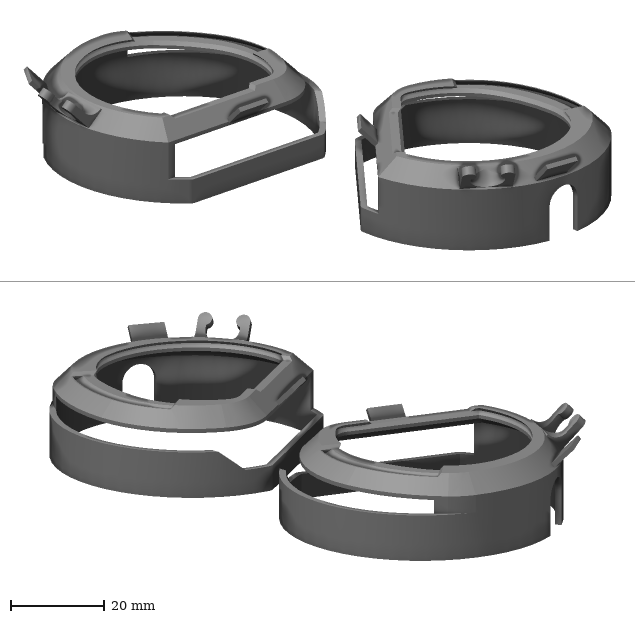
import cadquery as cq
import math

FRAME_OFFSET = 33.3

SKIRT_RADIUS = 30.6
WALL = 1.4
FLAT_ANGLE = -25.0
FLAT_DISTANCE = 24.0
CORNER_RADIUS = 2.0
FLAT_BAND_TOP = 5.6
BACK_BAND_TOP = 10.2
RAMP_START_Y = 13.2
RAMP_END_Y = 18.4

RIM_TOP = 18.1
LIP_TOP = 14.1
LIP_BOTTOM = 13.2
RIM_BOTTOM = 15.8
SLOPE_RUN = RIM_TOP - LIP_TOP
ROOF_FLAT_DISTANCE = 20.3
ROOF_FLAT_END = 11.1
ROOF_BACK_ARCS = [(12.7, 57.0), (27.2, 61.5), (37.6, 36.0)]

OPENING_FLAT_DISTANCE = 14.4
OPENING_FLAT_END = 11.1
OPENING_ARCS = [(4.0, 58.3), (20.1, 60.5), (38.2, 19.2), (16.0, 58.5)]
OPENING_LAST_RADIUS = 22.7

RECESS_FLOOR = 17.4
BACK_RECESS_APEX = (-2.7, -5.8)
BACK_RECESS_START = 60.6
BACK_RECESS_END = 127.3
FLAT_RECESS_START = -17.9
FLAT_RECESS_END = 5.2
GROOVE_DEPTH = 1.5
GROOVE_WIDTH = 2.9
GROOVE_SKIN = 0.4
RECESS_REACH = 51.8

GATE_ANGLE = 205.0
GATE_WIDTH = 8.0
GATE_TOP = 11.9

TAB_WIDTH = 8.0
TAB_THICKNESS = 1.0
SIDE_TAB_ANGLE = 211.0
SIDE_TAB_RISE = 0.6
SIDE_TAB_LENGTH = 5.8
FLAT_TAB_SHIFT = -1.3
FLAT_TAB_RISE = -0.3
FLAT_TAB_LENGTH = 5.0

CLIP_ANGLE = 240.0
CLIP_WIDTH = 11.5
CLIP_RISE = 0.5
CLIP_THICKNESS = 2.0
CLIP_BORE_RADIUS = 3.8
CLIP_BORE_HEIGHT = 3.9
CLIP_TIP_RADIUS = 1.5
CLIP_TIP_HEIGHT = 6.1
CLIP_MOUTH = 5.2
CLIP_FILLET = 3.0
ROOT_DEPTH = 0.8


def polar(radius, angle):
    a = math.radians(angle)
    return radius * math.cos(a), radius * math.sin(a)


def on_flat(distance, along):
    """Point at a distance in front of the axis and a place along the flat side."""
    nx, ny = polar(1, FLAT_ANGLE)
    return distance * nx - along * ny, distance * ny + along * nx


def prism(wire, bottom, top):
    return cq.Workplane("XY").add(wire).toPending().extrude(top - bottom).translate((0, 0, bottom))


def tapered(wire, bottom, top, run):
    """Prism from a wire, drawn in by `run` (or out, if negative) over its height."""
    height = top - bottom
    angle = math.degrees(math.atan2(run, height))
    return cq.Workplane("XY").add(wire).toPending().extrude(height, taper=angle).translate((0, 0, bottom))


def arc_center(point, heading, radius):
    dx, dy = polar(radius, heading + 90)
    return point[0] + dx, point[1] + dy


def draw_arcs(path, point, heading, arcs):
    """Continue a path with left-turning tangent arcs; returns it with its new end and heading."""
    for radius, sweep in arcs:
        cx, cy = arc_center(point, heading, radius)
        mx, my = polar(radius, heading - 90 + sweep / 2)
        ex, ey = polar(radius, heading - 90 + sweep)
        point = (cx + ex, cy + ey)
        heading += sweep
        path = path.threePointArc((cx + mx, cy + my), point)
    return path, point, heading


def roof_outline():
    half_flat = math.sqrt(SKIRT_RADIUS**2 - ROOF_FLAT_DISTANCE**2)
    flat_start = on_flat(ROOF_FLAT_DISTANCE, -half_flat)
    flat_end = on_flat(ROOF_FLAT_DISTANCE, ROOF_FLAT_END)
    path = cq.Workplane("XY").moveTo(*flat_start).lineTo(*flat_end)
    path, (px, py), heading = draw_arcs(path, flat_end, FLAT_ANGLE + 90, ROOF_BACK_ARCS)
    nx, ny = polar(1, heading + 90)
    radius = (SKIRT_RADIUS**2 - px**2 - py**2) / (2 * (SKIRT_RADIUS + px * nx + py * ny))
    cx, cy = arc_center((px, py), heading, radius)
    join_angle = math.degrees(math.atan2(cy, cx))
    path, _, _ = draw_arcs(path, (px, py), heading, [(radius, join_angle + 90 - heading)])
    start_angle = 360 + FLAT_ANGLE - math.degrees(math.acos(ROOF_FLAT_DISTANCE / SKIRT_RADIUS))
    mid_angle = (join_angle + start_angle) / 2
    return path.threePointArc(polar(SKIRT_RADIUS, mid_angle), flat_start).close().val()


def opening_outline():
    flat_end = on_flat(OPENING_FLAT_DISTANCE, OPENING_FLAT_END)
    path = cq.Workplane("XY").moveTo(*flat_end)
    path, point, heading = draw_arcs(path, flat_end, FLAT_ANGLE + 90, OPENING_ARCS)
    cx, cy = arc_center(point, heading, OPENING_LAST_RADIUS)
    nx, ny = polar(1, FLAT_ANGLE)
    center_to_flat = OPENING_FLAT_DISTANCE - cx * nx - cy * ny
    end_angle = 360 + FLAT_ANGLE - math.degrees(math.acos(center_to_flat / OPENING_LAST_RADIUS))
    sweep = end_angle + 90 - heading
    path, _, _ = draw_arcs(path, point, heading, [(OPENING_LAST_RADIUS, sweep)])
    return path.close().val()


def flat_sided_disc(radius, flat_distance, height):
    disc = cq.Workplane("XY").circle(radius).extrude(height)
    keep = (
        cq.Workplane("XY")
        .box(2 * radius, 2 * radius, height, centered=(True, True, False))
        .translate((flat_distance - radius, 0, 0))
        .rotate((0, 0, 0), (0, 0, 1), FLAT_ANGLE)
    )
    return disc.intersect(keep)


def make_skirt(roof_wire):
    outer = flat_sided_disc(SKIRT_RADIUS, FLAT_DISTANCE, LIP_TOP).edges("|Z").fillet(CORNER_RADIUS)
    inner = flat_sided_disc(SKIRT_RADIUS - WALL, FLAT_DISTANCE - WALL, LIP_TOP)
    wall = outer.cut(inner)
    under_roof = wall.intersect(prism(roof_wire, 0, LIP_TOP))
    band = wall.intersect(cq.Workplane("XY").circle(2 * SKIRT_RADIUS).extrude(BACK_BAND_TOP))
    ramp_relief = (
        cq.Workplane("YZ")
        .polyline([
            (-SKIRT_RADIUS - WALL, FLAT_BAND_TOP),
            (RAMP_START_Y, FLAT_BAND_TOP),
            (RAMP_END_Y, BACK_BAND_TOP),
            (-SKIRT_RADIUS - WALL, BACK_BAND_TOP),
        ])
        .close()
        .extrude(SKIRT_RADIUS + WALL)
    )
    return band.cut(ramp_relief).union(under_roof)


def make_roof(roof_wire, opening_wire):
    lip = prism(roof_wire, LIP_BOTTOM, LIP_TOP)
    slope = tapered(roof_wire, LIP_TOP, RIM_TOP, SLOPE_RUN)
    hollow_start = LIP_BOTTOM - WALL
    hollow = tapered(roof_wire, hollow_start, RIM_BOTTOM, RIM_BOTTOM - hollow_start)
    return lip.union(slope).cut(hollow).cut(prism(opening_wire, LIP_BOTTOM, RIM_TOP))


def ramped_recess(outline):
    """Space above the recess floor, with 45 degree ramps at the ends."""
    depth = RIM_TOP - RECESS_FLOOR
    return tapered(outline, RECESS_FLOOR, RIM_TOP, -depth)


def back_recess_outline(reach):
    ax, ay = BACK_RECESS_APEX
    corners = [polar(reach, BACK_RECESS_START), polar(reach, BACK_RECESS_END)]
    points = [(ax, ay)] + [(ax + x, ay + y) for x, y in corners]
    return cq.Workplane("XY").polyline(points).close().val()


def flat_recess_outline():
    points = [
        on_flat(d, s)
        for d, s in [
            (OPENING_FLAT_DISTANCE / 2, FLAT_RECESS_START),
            (ROOF_FLAT_DISTANCE, FLAT_RECESS_START),
            (ROOF_FLAT_DISTANCE, FLAT_RECESS_END),
            (OPENING_FLAT_DISTANCE / 2, FLAT_RECESS_END),
        ]
    ]
    return cq.Workplane("XY").polyline(points).close().val()


def cut_opening_groove(frame, opening_wire):
    """V-groove all round the opening, with its deepest line level with the recess floor."""
    depth = RIM_TOP - RECESS_FLOOR
    lower_side = tapered(opening_wire, RECESS_FLOOR - depth, RECESS_FLOOR, -depth)
    upper_side = lower_side.mirror("XY", (0, 0, RECESS_FLOOR))
    return frame.cut(lower_side).cut(upper_side)


def cut_recesses(frame):
    for outline in (back_recess_outline(RECESS_REACH), flat_recess_outline()):
        frame = frame.cut(ramped_recess(outline))
    return frame


def cut_back_groove(frame, roof_wire):
    """Groove in the back recess: a sloping inner side, a flat floor, and an outer side that leaves
    a thin skin of the roof slope."""
    edge_inset = RECESS_FLOOR - LIP_TOP
    floor = RECESS_FLOOR - GROOVE_DEPTH
    skin_start = LIP_TOP - GROOVE_SKIN
    within_skin = tapered(roof_wire, skin_start, RECESS_FLOOR, RECESS_FLOOR - skin_start)
    foot = floor - edge_inset * GROOVE_DEPTH / GROOVE_WIDTH
    inner_side = tapered(roof_wire, foot, RECESS_FLOOR, edge_inset + GROOVE_WIDTH)
    recess = prism(back_recess_outline(RECESS_REACH), floor, RECESS_FLOOR)
    return frame.cut(within_skin.intersect(recess).cut(inner_side))


def cut_gate(frame):
    radius = GATE_WIDTH / 2
    spring = GATE_TOP - radius
    gate = (
        cq.Workplane("YZ")
        .moveTo(-radius, 0)
        .lineTo(radius, 0)
        .lineTo(radius, spring)
        .threePointArc((0, GATE_TOP), (-radius, spring))
        .close()
        .extrude(SKIRT_RADIUS + WALL)
    )
    return frame.cut(gate.rotate((0, 0, 0), (0, 0, 1), GATE_ANGLE))


def slope_plane(distance, angle, along=0):
    """Plane whose x runs along the lip edge, whose y stands square on the slope, and whose normal
    points up the slope; its origin lies on the top edge of the lip."""
    ox, oy = polar(distance, angle)
    tx, ty = polar(1, angle + 90)
    ix, iy = polar(1, angle + 180)
    return cq.Plane(
        origin=(ox + along * tx, oy + along * ty, LIP_TOP),
        xDir=(-tx, -ty, 0),
        normal=(ix, iy, 1),
    )


def make_tab(plane, rise, length):
    return (
        cq.Workplane(plane)
        .workplane(offset=rise)
        .center(0, (length - ROOT_DEPTH) / 2)
        .rect(TAB_WIDTH, length + ROOT_DEPTH)
        .extrude(TAB_THICKNESS)
    )


def make_clip():
    plane = slope_plane(SKIRT_RADIUS, CLIP_ANGLE)
    half = CLIP_WIDTH / 2
    tip_x = half - CLIP_TIP_RADIUS
    slope_length = SLOPE_RUN * math.sqrt(2)
    prong_top = CLIP_RISE + CLIP_THICKNESS
    arc_mid = CLIP_FILLET * (1 - math.sqrt(0.5))
    foot = prong_top + CLIP_FILLET
    profile = [(CLIP_RISE, -ROOT_DEPTH), (foot, -ROOT_DEPTH), (foot, 0)]
    reach = CLIP_TIP_HEIGHT + CLIP_TIP_RADIUS
    side = (
        cq.Workplane(cq.Plane(plane.origin, xDir=plane.zDir, normal=-plane.xDir))
        .polyline(profile)
        .threePointArc((prong_top + arc_mid, arc_mid), (prong_top, CLIP_FILLET))
        .lineTo(prong_top, reach)
        .lineTo(CLIP_RISE, reach)
        .close()
        .extrude(half, both=True)
    )
    face = (
        cq.Workplane(plane)
        .center(0, (CLIP_TIP_HEIGHT - ROOT_DEPTH) / 2)
        .rect(CLIP_WIDTH, CLIP_TIP_HEIGHT + ROOT_DEPTH)
        .extrude(slope_length)
    )
    bore = (
        cq.Workplane(plane)
        .center(0, CLIP_BORE_HEIGHT)
        .circle(CLIP_BORE_RADIUS)
        .extrude(slope_length)
    )
    mouth = (
        cq.Workplane(plane)
        .center(0, CLIP_BORE_HEIGHT + reach / 2)
        .rect(CLIP_MOUTH, reach)
        .extrude(slope_length)
    )
    tips = (
        cq.Workplane(plane)
        .pushPoints([(-tip_x, CLIP_TIP_HEIGHT), (tip_x, CLIP_TIP_HEIGHT)])
        .circle(CLIP_TIP_RADIUS)
        .extrude(slope_length)
    )
    return face.cut(bore).cut(mouth).union(tips).intersect(side)


def make_frame():
    roof_wire = roof_outline()
    opening_wire = opening_outline()
    frame = make_skirt(roof_wire).union(make_roof(roof_wire, opening_wire))
    frame = cut_opening_groove(frame, opening_wire)
    frame = cut_recesses(frame)
    frame = cut_back_groove(frame, roof_wire)
    frame = cut_gate(frame)
    side_tab = make_tab(slope_plane(SKIRT_RADIUS, SIDE_TAB_ANGLE), SIDE_TAB_RISE, SIDE_TAB_LENGTH)
    flat_tab_plane = slope_plane(ROOF_FLAT_DISTANCE, FLAT_ANGLE, FLAT_TAB_SHIFT)
    flat_tab = make_tab(flat_tab_plane, FLAT_TAB_RISE, FLAT_TAB_LENGTH)
    return frame.union(side_tab).union(flat_tab).union(make_clip())


frame = make_frame().translate((-FRAME_OFFSET, 0, 0))
mirrored_frame = frame.mirror("YZ")
result = cq.Compound.makeCompound([frame.val(), mirrored_frame.val()])